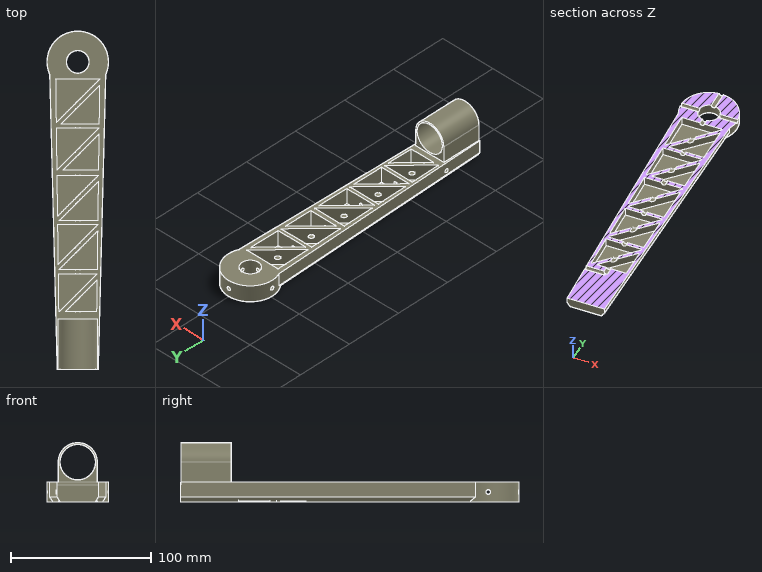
import cadquery as cq

length = 241.2
thickness = 14.5
mid_height = thickness / 2

hub_radius = 22.0
hub_y = length - hub_radius
bore_diameter = 16.0

front_half_width = 14.7
hub_half_width = 20.3
chamfer_width = 2.5
chamfer_height = 3.5
lip_height = 2.2
lip_depth = 0.2

tube_length = 36.2
tube_radius = 14.0
tube_bore_diameter = 25.0
tube_top = 42.5
tube_axis_z = tube_top - tube_radius

bays = [(207.0, 175.0), (172.2, 142.3), (138.5, 106.0), (103.2, 71.1), (68.3, 41.2)]
floor_thickness = 1.0
pocket_far_half_width = 15.7
pocket_near_half_width = 13.5
brace_rise = 4.3

drill_diameter = 3.1
side_hole_y = 35.0


def arm_section(y, half_width):
    """Cross-section of the arm, with both lower corners chamfered."""
    bottom = half_width - chamfer_width
    points = [
        (-bottom, 0),
        (bottom, 0),
        (half_width, chamfer_height),
        (half_width, thickness),
        (-half_width, thickness),
        (-half_width, chamfer_height),
    ]
    return cq.Wire.makePolygon([cq.Vector(x, y, z) for x, z in points], close=True)


def make_arm():
    sections = [arm_section(0, front_half_width), arm_section(hub_y, hub_half_width)]
    arm = cq.Workplane(cq.Solid.makeLoft(sections, True))
    lip = (
        cq.Workplane("YZ")
        .polyline([(0, thickness - lip_height), (lip_depth, thickness), (0, thickness)])
        .close()
        .extrude(front_half_width + lip_depth, both=True)
    )
    return arm.cut(lip)


def make_clamp():
    """Saddle block with a round top, starting at the upper edge of the lip."""
    return (
        cq.Workplane("XZ", origin=(0, tube_length, 0))
        .moveTo(-tube_radius, mid_height)
        .lineTo(tube_radius, mid_height)
        .lineTo(tube_radius, tube_axis_z)
        .threePointArc((0, tube_top), (-tube_radius, tube_axis_z))
        .close()
        .extrude(tube_length - lip_depth)
    )


def pocket_half_width(y):
    """Half-width of the pockets, tapering from the first bay to the last."""
    far_y = bays[0][0]
    near_y = bays[-1][1]
    fraction = (y - near_y) / (far_y - near_y)
    return pocket_near_half_width + fraction * (pocket_far_half_width - pocket_near_half_width)


def make_pocket(far_y, near_y):
    """One bay, divided into two triangles by a 45 degree brace."""
    far = pocket_half_width(far_y)
    near = pocket_half_width(near_y)
    depth = thickness - floor_thickness
    base = cq.Workplane("XY", origin=(0, 0, floor_thickness))
    bay = base.polyline([(-far, far_y), (far, far_y), (near, near_y), (-near, near_y)]).close().extrude(depth)
    reach = 3 * far
    brace = (
        base.moveTo(far, far_y)
        .lineTo(far - reach, far_y - reach)
        .lineTo(far - reach, far_y - reach - brace_rise)
        .lineTo(far, far_y - brace_rise)
        .close()
        .extrude(depth)
    )
    return bay.cut(brace)


def drill(start, direction, depth, diameter):
    return cq.Workplane(cq.Solid.makeCylinder(diameter / 2, depth, cq.Vector(*start), cq.Vector(*direction)))


hub = cq.Workplane("XY").center(0, hub_y).circle(hub_radius).extrude(thickness)
result = make_arm().union(hub).union(make_clamp())

for far_y, near_y in bays:
    result = result.cut(make_pocket(far_y, near_y))

result = result.cut(drill((0, hub_y, 0), (0, 0, 1), thickness, bore_diameter))
result = result.cut(drill((0, 0, tube_axis_z), (0, 1, 0), tube_length, tube_bore_diameter))

result = result.cut(drill((-hub_radius, hub_y, mid_height), (1, 0, 0), 2 * hub_radius, drill_diameter))
result = result.cut(drill((0, side_hole_y, mid_height), (0, 1, 0), length - side_hole_y, drill_diameter))
result = result.cut(drill((-hub_radius, side_hole_y, mid_height), (1, 0, 0), hub_radius, drill_diameter))